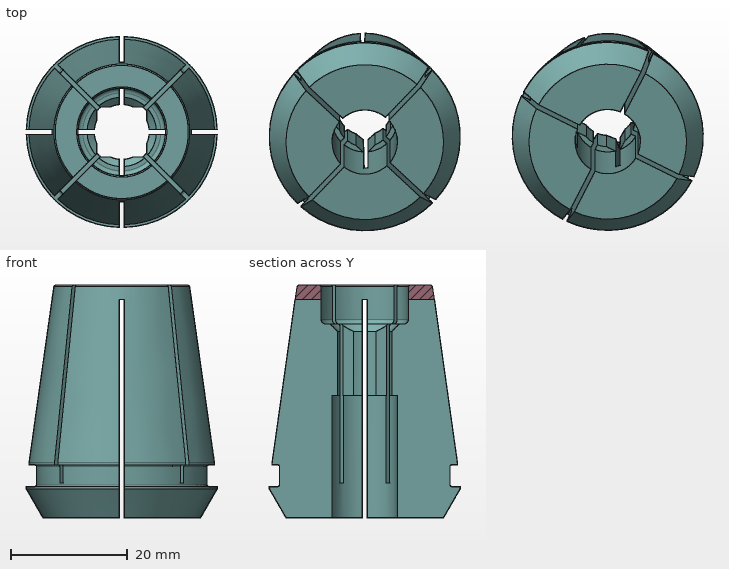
import cadquery as cq
import math

HEIGHT = 40.0
RIM_RADIUS = 16.4

NOSE_ANGLE = 30.0
NOSE_HEIGHT = 5.0
RIM_TOP = 5.4

GROOVE_RADIUS = 14.65
GROOVE_TOP = 9.1
GROOVE_FILLET = 0.3

TAPER_ANGLE = 8.0
TAPER_START = 9.5
TAPER_RADIUS = 15.93
TOP_CHAMFER = 0.25

COUNTERBORE_RADIUS = 7.5
COUNTERBORE_FLOOR = 33.3
COUNTERBORE_FILLET = 0.8
COUNTERBORE_CHAMFER = 0.25
CONE_RADIUS = 5.95
CONE_HALF_ANGLE = 45.0
CORE_RADIUS = 4.7
SQUARE_SIDE = 8.55
SQUARE_BOTTOM = 21.0
SHANK_RADIUS = 5.6

SLOT_WIDTH = 0.8
LOWER_SLOT_TOP = HEIGHT - 2.5
UPPER_SLOT_FLOOR = 6.0
SLOT_OVERRUN = 1.0

QUARTER_ARC_INSET = 1 - math.cos(math.radians(45))


def tan_deg(angle):
    return math.tan(math.radians(angle))


def outer_body():
    """Solid of revolution: nose, rim, groove and taper."""
    nose_radius = RIM_RADIUS - NOSE_HEIGHT * tan_deg(NOSE_ANGLE)
    chamfer_start = HEIGHT - TOP_CHAMFER
    taper_end_radius = TAPER_RADIUS - (chamfer_start - TAPER_START) * tan_deg(TAPER_ANGLE)
    arc_middle = GROOVE_FILLET * QUARTER_ARC_INSET
    return (
        cq.Workplane("XZ")
        .lineTo(nose_radius, 0)
        .lineTo(RIM_RADIUS, NOSE_HEIGHT)
        .lineTo(RIM_RADIUS, RIM_TOP)
        .lineTo(GROOVE_RADIUS + GROOVE_FILLET, RIM_TOP)
        .threePointArc(
            (GROOVE_RADIUS + arc_middle, RIM_TOP + arc_middle),
            (GROOVE_RADIUS, RIM_TOP + GROOVE_FILLET),
        )
        .lineTo(GROOVE_RADIUS, GROOVE_TOP - GROOVE_FILLET)
        .threePointArc(
            (GROOVE_RADIUS + arc_middle, GROOVE_TOP - arc_middle),
            (GROOVE_RADIUS + GROOVE_FILLET, GROOVE_TOP),
        )
        .lineTo(TAPER_RADIUS, GROOVE_TOP)
        .lineTo(TAPER_RADIUS, TAPER_START)
        .lineTo(taper_end_radius, chamfer_start)
        .lineTo(taper_end_radius - TOP_CHAMFER, HEIGHT)
        .lineTo(0, HEIGHT)
        .close()
        .revolve(360, (0, 0, 0), (0, 1, 0))
    )


def round_bore():
    """Revolved bore: shank hole, core hole, cone and filleted counterbore."""
    cone_bottom = COUNTERBORE_FLOOR - (CONE_RADIUS - CORE_RADIUS) / tan_deg(CONE_HALF_ANGLE)
    arc_middle = COUNTERBORE_FILLET * QUARTER_ARC_INSET
    return (
        cq.Workplane("XZ")
        .lineTo(SHANK_RADIUS, 0)
        .lineTo(SHANK_RADIUS, SQUARE_BOTTOM)
        .lineTo(CORE_RADIUS, SQUARE_BOTTOM)
        .lineTo(CORE_RADIUS, cone_bottom)
        .lineTo(CONE_RADIUS, COUNTERBORE_FLOOR)
        .lineTo(COUNTERBORE_RADIUS - COUNTERBORE_FILLET, COUNTERBORE_FLOOR)
        .threePointArc(
            (COUNTERBORE_RADIUS - arc_middle, COUNTERBORE_FLOOR + arc_middle),
            (COUNTERBORE_RADIUS, COUNTERBORE_FLOOR + COUNTERBORE_FILLET),
        )
        .lineTo(COUNTERBORE_RADIUS, HEIGHT - COUNTERBORE_CHAMFER)
        .lineTo(COUNTERBORE_RADIUS + COUNTERBORE_CHAMFER, HEIGHT)
        .lineTo(0, HEIGHT)
        .close()
        .revolve(360, (0, 0, 0), (0, 1, 0))
    )


def square_drive():
    """Square socket that holds the squared end of the shank."""
    return (
        cq.Workplane("XY", origin=(0, 0, SQUARE_BOTTOM))
        .rect(SQUARE_SIDE, SQUARE_SIDE)
        .extrude(COUNTERBORE_FLOOR - SQUARE_BOTTOM)
    )


def slot_cross(bottom, top, angle):
    """Two crossed full-width slots between two heights, turned about Z."""
    length = 2 * (RIM_RADIUS + SLOT_OVERRUN)
    blade = (
        cq.Workplane("XY", origin=(0, 0, bottom))
        .rect(length, SLOT_WIDTH)
        .extrude(top - bottom)
        .rotate((0, 0, 0), (0, 0, 1), angle)
    )
    return blade.union(blade.rotate((0, 0, 0), (0, 0, 1), 90))


result = outer_body().cut(round_bore()).cut(square_drive())
result = result.cut(slot_cross(0, LOWER_SLOT_TOP, 0))
result = result.cut(slot_cross(UPPER_SLOT_FLOOR, HEIGHT, 45))